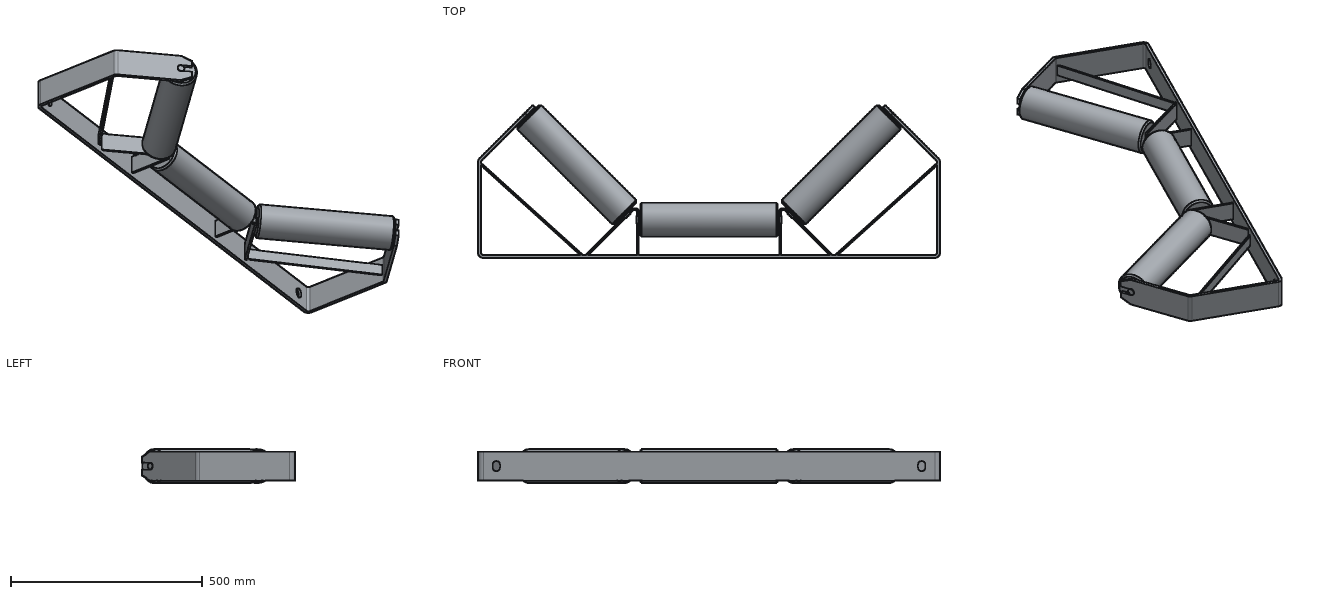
import cadquery as cq
import math

overall_length = 1210.0
frame_depth = 400.0
strip_width = 76.0
strip_thickness = 8.0
frame_bend_radius = 15.0

mount_slot_x = 557.0
mount_slot_length = 27.0
mount_slot_width = 19.0

roller_diameter = 90.0
roller_length = 360.0
roller_chamfer = 5.0
shaft_diameter = 18.0
shaft_extension = 10.0
end_gap = 3.0
center_roller_y = 100.0
wing_roller_x = 346.0
wing_roller_y = 245.0
wing_angle = 45.0

bracket_width = 50.0
bracket_thickness = 5.5
bracket_bend_radius = 10.0
bracket_top_y = 131.0

taper_end_width = 50.0

brace_thickness = 5.0
brace_width = 30.0
brace_top_y = 246.0
brace_foot_x = 334.0

half_length = overall_length / 2
wing_slope = math.radians(wing_angle)
inward = cq.Vector(math.cos(wing_slope), -math.sin(wing_slope))
outward = inward * -1
up_plate = cq.Vector(math.sin(wing_slope), math.cos(wing_slope))
up = cq.Vector(0, 1)
right = cq.Vector(1, 0)
left = cq.Vector(-1, 0)

support_distance = roller_length / 2 + end_gap
wing_center = cq.Vector(-wing_roller_x, wing_roller_y)
plate_axis_point = wing_center + outward * support_distance
bracket_wing_axis_point = wing_center + inward * support_distance
bracket_center_axis_point = cq.Vector(-support_distance, center_roller_y)


def point_at_x(start, direction, x):
    """Point of a line that has the given x."""
    return start + direction * ((x - start.x) / direction.x)


def point_at_y(start, direction, y):
    """Point of a line that has the given y."""
    return start + direction * ((y - start.y) / direction.y)


def prism(points, width):
    """Extrude a closed XY outline to both sides of the XY plane."""
    outline = [(p.x, p.y) for p in points]
    return cq.Workplane("XY").polyline(outline).close().extrude(width / 2, both=True)


def bent_strip(outer_points, width, thickness, bend_radius):
    """Strip whose outer face follows a clockwise path, with concentric rounded bends."""
    directions = [(b - a).normalized() for a, b in zip(outer_points, outer_points[1:])]
    normals = [cq.Vector(d.y, -d.x) for d in directions]
    inner_points = [outer_points[0] + normals[0] * thickness]
    for corner, before, after in zip(outer_points[1:], normals, normals[1:]):
        miter = before + after
        inner_points.append(corner + miter * (2 * thickness / miter.dot(miter)))
    inner_points.append(outer_points[-1] + normals[-1] * thickness)

    strip = prism(outer_points + inner_points[::-1], width)
    bends = [(p, bend_radius) for p in outer_points[1:-1]]
    bends += [(p, bend_radius - thickness) for p in inner_points[1:-1]]
    for corner, radius in bends:
        corner_edge = cq.selectors.NearestToPointSelector((corner.x, corner.y, 0))
        strip = strip.edges("|Z").edges(corner_edge).fillet(radius)
    return strip


def shaft_slot(axis_point, open_direction, depth_direction, depth, length):
    """Cutter for a slot that is round at the roller axis and open at its other end."""
    face = cq.Workplane(cq.Plane(axis_point, xDir=open_direction, normal=depth_direction))
    seat = face.circle(shaft_diameter / 2).extrude(depth)
    opening = face.center(length / 2, 0).rect(length, shaft_diameter).extrude(depth)
    return seat.union(opening)


def plate_end_cutter(end_length):
    """Shaft slot and the two tapering corners of the left end plate."""
    cutter = shaft_slot(plate_axis_point, up_plate, outward, strip_thickness, end_length)
    face = cq.Workplane(cq.Plane(plate_axis_point, xDir=up_plate, normal=outward))
    for side in (1, -1):
        edge = side * strip_width / 2
        corner = [(0, edge), (end_length, side * taper_end_width / 2), (end_length, edge)]
        cutter = cutter.union(face.polyline(corner).close().extrude(strip_thickness))
    return cutter


def mirrored(body):
    """Copy of a body on the other side of the middle plane."""
    return body.mirror("YZ")


def make_frame():
    """Bent strip with slotted, tapered end plates and two mounting slots."""
    plate_outer_point = plate_axis_point + outward * strip_thickness
    tip = point_at_y(plate_outer_point, up_plate, frame_depth)
    shoulder = point_at_x(plate_outer_point, up_plate, -half_length)
    left_path = [cq.Vector(-half_length, 0), shoulder, tip]
    right_path = [cq.Vector(-p.x, p.y) for p in reversed(left_path)]
    frame = bent_strip(right_path + left_path, strip_width, strip_thickness, frame_bend_radius)

    end_cutter = plate_end_cutter((tip - plate_outer_point).Length)
    frame = frame.cut(end_cutter).cut(mirrored(end_cutter))

    mount_slots = (
        cq.Workplane("XZ")
        .pushPoints([(-mount_slot_x, 0), (mount_slot_x, 0)])
        .slot2D(mount_slot_length, mount_slot_width, 90)
        .extrude(-strip_thickness)
    )
    return frame.cut(mount_slots)


def make_left_bracket():
    """Bent strip that carries the inner end of the wing roller and the left end of the center roller."""
    wing_foot = point_at_y(bracket_wing_axis_point, up_plate, 0)
    wing_corner = point_at_y(bracket_wing_axis_point, up_plate, bracket_top_y)
    center_corner = cq.Vector(-support_distance, bracket_top_y)
    center_foot = cq.Vector(-support_distance, 0)
    path = [wing_foot, wing_corner, center_corner, center_foot]
    bracket = bent_strip(path, bracket_width, bracket_thickness, bracket_bend_radius)

    base = cq.Workplane("XY").box(overall_length, 2 * strip_thickness, strip_width)
    wing_slot = shaft_slot(
        bracket_wing_axis_point,
        up_plate,
        inward,
        bracket_thickness,
        (wing_corner - bracket_wing_axis_point).Length,
    )
    center_slot = shaft_slot(
        bracket_center_axis_point,
        up,
        left,
        center_corner.x - wing_corner.x,
        bracket_top_y - center_roller_y,
    )
    return bracket.cut(base).cut(wing_slot).cut(center_slot)


def make_left_brace():
    """Flat bar from the frame side down to the base."""
    top = cq.Vector(strip_thickness - half_length, brace_top_y)
    foot = cq.Vector(-brace_foot_x, strip_thickness)
    direction = (foot - top).normalized()
    half_height = cq.Vector(0, brace_thickness / 2 / direction.x)
    half_foot = cq.Vector(brace_thickness / 2 / -direction.y, 0)
    return prism([top + half_height, foot + half_foot, foot - half_foot, top - half_height], brace_width)


def make_roller(center, axis):
    """Roller with chamfered rims and a shaft end on each side."""
    drum_end = cq.Plane(center - axis * (roller_length / 2), xDir=(0, 0, 1), normal=axis)
    drum = cq.Workplane(drum_end).circle(roller_diameter / 2).extrude(roller_length)
    drum = drum.edges("%CIRCLE").chamfer(roller_chamfer)
    shaft_length = roller_length + 2 * shaft_extension
    shaft_end = cq.Plane(center - axis * (shaft_length / 2), xDir=(0, 0, 1), normal=axis)
    shaft = cq.Workplane(shaft_end).circle(shaft_diameter / 2).extrude(shaft_length)
    return drum.union(shaft)


frame = make_frame()
left_bracket = make_left_bracket()
left_brace = make_left_brace()
left_wing_roller = make_roller(wing_center, inward)
center_roller = make_roller(cq.Vector(0, center_roller_y), right)

bodies = [frame, center_roller]
for left_body in (left_bracket, left_brace, left_wing_roller):
    bodies += [left_body, mirrored(left_body)]

result = cq.Compound.makeCompound([body.solids().val() for body in bodies])